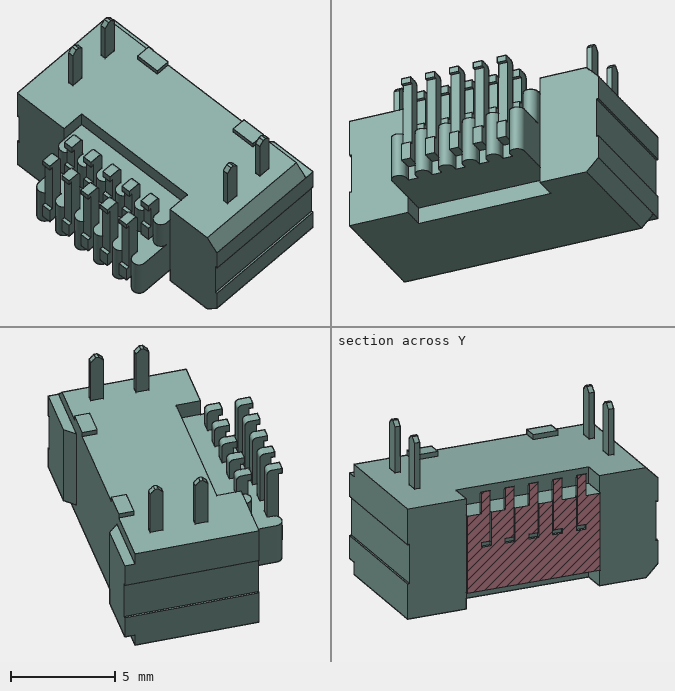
import cadquery as cq

HOUSING_WIDTH = 13.23
HOUSING_DEPTH = 6.21
HOUSING_HEIGHT = 5.73
CORNER_CHAMFER = 0.635
SIDE_GROOVE_DEPTH = 0.1
SIDE_GROOVE_BOTTOM = 1.84
SIDE_GROOVE_TOP = 3.87

WING_LENGTH = 0.51
WING_INSET_Z = CORNER_CHAMFER
WING_FLAT_INNER_X = 4.0

PAD_SPACING = 6.33
PAD_WIDTH = 1.3
PAD_DEPTH = 0.755
PAD_HEIGHT = 0.25

BLOCK_WIDTH = 7.02
BLOCK_BOTTOM = 0.85
BLOCK_TOP = HOUSING_HEIGHT - BLOCK_BOTTOM
BLOCK_STEP_Z = 3.14
POCKET_DEPTH = 1.22
ROW_SPACING = 1.53
UPPER_TIP_Y = -0.61
LOWER_TIP_Y = UPPER_TIP_Y - ROW_SPACING

SLOT_COUNT = 5
SLOT_WIDTH = 0.5
RIB_COUNT = SLOT_COUNT + 1
RIB_WIDTH = (BLOCK_WIDTH - SLOT_COUNT * SLOT_WIDTH) / RIB_COUNT
RIB_RADIUS = RIB_WIDTH / 2
RIB_PITCH = RIB_WIDTH + SLOT_WIDTH

CONTACT_PITCH = 1.27
CONTACT_WIDTH = 0.48
CONTACT_THICKNESS = 0.57
CONTACT_REACH = 0.755
CONTACT_TOP = 6.03
CONTACT_TIP_RADIUS = 0.23
FOOT_HEIGHT = 0.89
UPPER_BACK_Y = 0.015
UPPER_FOOT_BOTTOM = 3.36
UPPER_HOOK_BOTTOM = 5.64
LOWER_BACK_Y = UPPER_BACK_Y - ROW_SPACING
LOWER_FOOT_BOTTOM = 1.57
LOWER_HOOK_BOTTOM = HOUSING_HEIGHT

CLIP_SPACING = 10.25
CLIP_THICKNESS = 0.28
CLIP_TOP = 8.36
PRONG_WIDTH = 0.65
PRONG_SPACING = 2.255
FRONT_PRONG_Y = 2.485
PRONG_TIP_HEIGHT = 0.25
PRONG_TIP_WIDTH = 0.16
CLIP_BAR_BOTTOM = 4.2
CLIP_BAR_TOP = 4.85


def block(x_range, y_range, z_range):
    """Box between the given limits."""
    size = [high - low for low, high in (x_range, y_range, z_range)]
    corner = (x_range[0], y_range[0], z_range[0])
    return cq.Workplane("XY").box(*size, centered=False).translate(corner)


def evenly_spaced(count, pitch):
    """Positions at a constant pitch, centred on zero."""
    return [(i - (count - 1) / 2) * pitch for i in range(count)]


def make_shell():
    """Housing box with chamfered +X corners and a shallow groove along each side."""
    half_width = HOUSING_WIDTH / 2
    shell = block((-half_width, half_width), (0, HOUSING_DEPTH), (0, HOUSING_HEIGHT))
    shell = shell.edges("|Y and >X").chamfer(CORNER_CHAMFER)
    return shell.union(make_wing(1)).union(make_wing(-1)).cut(make_side_grooves())


def make_wing(side):
    """Wing on the back face, with its inner end bevelled; side is 1 for +X and -1 for -X."""
    back_y = HOUSING_DEPTH + WING_LENGTH
    outer_x = side * HOUSING_WIDTH / 2
    return (
        cq.Workplane("XY", origin=(0, 0, WING_INSET_Z))
        .moveTo(outer_x, HOUSING_DEPTH)
        .lineTo(outer_x, back_y)
        .lineTo(side * WING_FLAT_INNER_X, back_y)
        .lineTo(side * BLOCK_WIDTH / 2, HOUSING_DEPTH)
        .close()
        .extrude(HOUSING_HEIGHT - 2 * WING_INSET_Z)
    )


def make_side_grooves():
    """Material removed from the middle of both side faces, along the whole depth."""
    half_width = HOUSING_WIDTH / 2
    y_range = (0, HOUSING_DEPTH + WING_LENGTH)
    z_range = (SIDE_GROOVE_BOTTOM, SIDE_GROOVE_TOP)
    left = block((-half_width, -half_width + SIDE_GROOVE_DEPTH), y_range, z_range)
    return left.union(left.mirror("YZ"))


def make_block_pockets():
    """Pockets in the front face, above and below the terminal block."""
    x_range = (-BLOCK_WIDTH / 2, BLOCK_WIDTH / 2)
    below = block(x_range, (0, POCKET_DEPTH), (0, BLOCK_BOTTOM))
    above = block(x_range, (0, POCKET_DEPTH), (BLOCK_TOP, HOUSING_HEIGHT))
    return below.union(above)


def make_pads():
    """Stand-off pads on the top face."""
    return (
        cq.Workplane("XY", origin=(0, HOUSING_DEPTH - PAD_DEPTH / 2, HOUSING_HEIGHT))
        .pushPoints([(x, 0) for x in evenly_spaced(2, PAD_SPACING)])
        .rect(PAD_WIDTH, PAD_DEPTH)
        .extrude(PAD_HEIGHT)
    )


def make_rib_row(tip_y, slot_floor_y, bottom, top):
    """One step of the terminal block: a solid back with round-nosed ribs in front of it."""
    x_range = (-BLOCK_WIDTH / 2, BLOCK_WIDTH / 2)
    row = block(x_range, (slot_floor_y, POCKET_DEPTH), (bottom, top))
    nose_y = tip_y + RIB_RADIUS
    for x in evenly_spaced(RIB_COUNT, RIB_PITCH):
        rib = (
            cq.Workplane("XY", origin=(x, 0, bottom))
            .moveTo(-RIB_RADIUS, POCKET_DEPTH)
            .lineTo(-RIB_RADIUS, nose_y)
            .threePointArc((0, tip_y), (RIB_RADIUS, nose_y))
            .lineTo(RIB_RADIUS, POCKET_DEPTH)
            .close()
            .extrude(top - bottom)
        )
        row = row.union(rib)
    return row


def make_contact(x, back_y, foot_bottom, hook_bottom):
    """Contact strip with a rounded back corner at its tip."""
    face_y = back_y - CONTACT_THICKNESS
    reach_y = back_y - CONTACT_REACH
    foot_top = foot_bottom + FOOT_HEIGHT
    strip = (
        cq.Workplane("YZ", origin=(x - CONTACT_WIDTH / 2, 0, 0))
        .moveTo(back_y, foot_bottom)
        .lineTo(back_y, CONTACT_TOP)
        .lineTo(reach_y, CONTACT_TOP)
        .lineTo(reach_y, hook_bottom)
        .lineTo(face_y, hook_bottom)
        .lineTo(face_y, foot_top)
        .lineTo(reach_y, foot_top)
        .lineTo(reach_y, foot_bottom)
        .close()
        .extrude(CONTACT_WIDTH)
    )
    return strip.edges("|X and >Y and >Z").fillet(CONTACT_TIP_RADIUS)


def make_clip(x):
    """Board clip: two pointed prongs on a common bar."""
    prong_half = PRONG_WIDTH / 2
    tip_half = PRONG_TIP_WIDTH / 2
    back_prong_y = FRONT_PRONG_Y + PRONG_SPACING
    x_range = (x - CLIP_THICKNESS / 2, x + CLIP_THICKNESS / 2)
    y_range = (FRONT_PRONG_Y - prong_half, back_prong_y + prong_half)
    clip = block(x_range, y_range, (CLIP_BAR_BOTTOM, CLIP_BAR_TOP))
    for y in (FRONT_PRONG_Y, back_prong_y):
        prong = (
            cq.Workplane("YZ", origin=(x_range[0], y, 0))
            .moveTo(-prong_half, CLIP_BAR_BOTTOM)
            .lineTo(-prong_half, CLIP_TOP - PRONG_TIP_HEIGHT)
            .lineTo(-tip_half, CLIP_TOP)
            .lineTo(tip_half, CLIP_TOP)
            .lineTo(prong_half, CLIP_TOP - PRONG_TIP_HEIGHT)
            .lineTo(prong_half, CLIP_BAR_BOTTOM)
            .close()
            .extrude(CLIP_THICKNESS)
        )
        clip = clip.union(prong)
    return clip.solids()


def make_housing(clips):
    """Housing with its terminal block and contacts, and a matching recess for each clip."""
    housing = make_shell().cut(make_block_pockets()).union(make_pads())
    housing = housing.union(make_rib_row(UPPER_TIP_Y, UPPER_BACK_Y, BLOCK_BOTTOM, BLOCK_TOP))
    housing = housing.union(make_rib_row(LOWER_TIP_Y, LOWER_BACK_Y, BLOCK_BOTTOM, BLOCK_STEP_Z))
    for x in evenly_spaced(SLOT_COUNT, CONTACT_PITCH):
        housing = housing.union(make_contact(x, UPPER_BACK_Y, UPPER_FOOT_BOTTOM, UPPER_HOOK_BOTTOM))
        housing = housing.union(make_contact(x, LOWER_BACK_Y, LOWER_FOOT_BOTTOM, LOWER_HOOK_BOTTOM))
    for clip in clips:
        housing = housing.cut(clip)
    return housing.solids()


clips = [make_clip(x) for x in evenly_spaced(2, CLIP_SPACING)]
housing = make_housing(clips)

result = cq.Compound.makeCompound([housing.val(), *[clip.val() for clip in clips]])